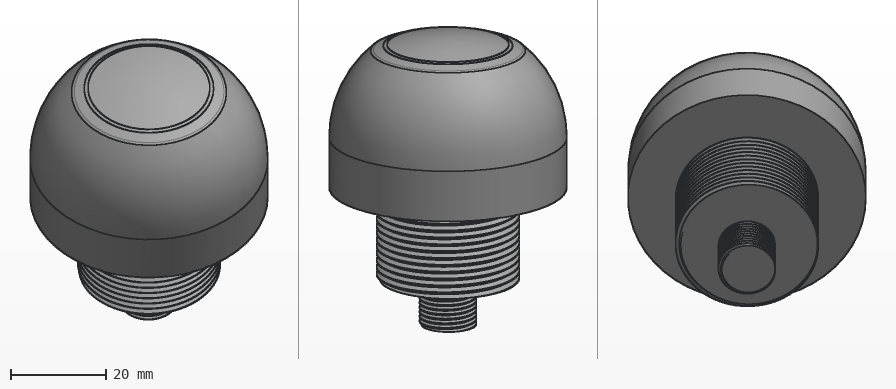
import cadquery as cq
import math

DRUM_DIAMETER = 50.0
DRUM_HEIGHT = 11.0
MOUNT_DIAMETER = 30.0
MOUNT_ROOT_DIAMETER = 27.75
MOUNT_LENGTH = 20.0
CONNECTOR_DIAMETER = 12.0
CONNECTOR_ROOT_DIAMETER = 10.55
CONNECTOR_LENGTH = 10.0
CONNECTOR_TURNS = 10
CONNECTOR_PITCH = CONNECTOR_LENGTH / CONNECTOR_TURNS
MOUNT_PITCH = 1.5 * CONNECTOR_PITCH
THREAD_ANGLE = 60.0
GROOVE_START_ANGLE = 90.0

DOME_HEIGHT = 19.0

OVERALL_HEIGHT = 63.1
BEVEL_WIDTH = 0.55
BEVEL_HEIGHT = 0.3
RING_OUTER_DIAMETER = 27.2
RING_INNER_DIAMETER = 25.6
RING_HEIGHT = 0.095

MOUNT_BOTTOM = CONNECTOR_LENGTH
DRUM_BOTTOM = MOUNT_BOTTOM + MOUNT_LENGTH
DOME_BOTTOM = DRUM_BOTTOM + DRUM_HEIGHT
CAP_BOTTOM = DOME_BOTTOM + DOME_HEIGHT
DOME_RADIUS = DRUM_DIAMETER / 2
CAP_RADIUS = math.sqrt(DOME_RADIUS**2 - DOME_HEIGHT**2)
CROWN_EDGE_RADIUS = CAP_RADIUS - BEVEL_WIDTH
CROWN_EDGE_Z = CAP_BOTTOM + BEVEL_HEIGHT
CROWN_RISE = OVERALL_HEIGHT - CROWN_EDGE_Z
CROWN_RADIUS = (CROWN_EDGE_RADIUS**2 + CROWN_RISE**2) / (2 * CROWN_RISE)
CROWN_CENTER_Z = OVERALL_HEIGHT - CROWN_RADIUS


def disc(diameter, bottom, height):
    """Upright cylinder on the Z axis."""
    return cq.Workplane("XY").workplane(offset=bottom).circle(diameter / 2).extrude(height)


def axis_segment(bottom, length):
    """Straight edge along the Z axis."""
    return cq.Edge.makeLine(cq.Vector(0, 0, bottom), cq.Vector(0, 0, bottom + length))


def helix_turn(radius, pitch, bottom):
    """One right-handed turn of a helix, starting on the +X side."""
    return cq.Wire.makeHelix(pitch, pitch, radius, center=cq.Vector(0, 0, bottom)).Edges()[0]


def threaded_rod(crest_radius, root_radius, pitch, turns):
    """Solid screw of whole turns from one pitch below the origin, bounded by helical faces.

    Each end is closed by a helicoid and by a flat step that holds one thread section.
    """
    flank_height = (crest_radius - root_radius) * math.tan(math.radians(THREAD_ANGLE / 2))
    section = [
        (root_radius, 0),
        (crest_radius, flank_height),
        (crest_radius, pitch - flank_height),
        (root_radius, pitch),
    ]
    first_turn = -pitch
    end_turn = first_turn + turns * pitch
    faces = []

    for turn in range(turns):
        turn_bottom = first_turn + turn * pitch
        edges = [helix_turn(radius, pitch, turn_bottom + height) for radius, height in section]
        for lower, upper in zip(edges, edges[1:]):
            faces.append(cq.Face.makeRuledSurface(lower, upper))

    for end in (first_turn, end_turn):
        axis = axis_segment(end, pitch)
        faces.append(cq.Face.makeRuledSurface(axis, helix_turn(root_radius, pitch, end)))
        step_outline = [(0, 0), *section, (0, pitch)]
        step_points = [cq.Vector(radius, 0, end + height) for radius, height in step_outline]
        faces.append(cq.Face.makeFromWires(cq.Wire.makePolygon(step_points, close=True)))

    return cq.Workplane(obj=cq.Solid.makeSolid(cq.Shell.makeShell(faces)))


def threaded_shank(diameter, root_diameter, pitch, bottom, length):
    """Threaded rod cut square at both ends."""
    turns = math.ceil(length / pitch) + 2
    rod = threaded_rod(diameter / 2, root_diameter / 2, pitch, turns)
    trimmed = rod.intersect(disc(2 * diameter, 0, length))
    return trimmed.rotate((0, 0, 0), (0, 0, 1), GROOVE_START_ANGLE).translate((0, 0, bottom))


def crown_z(radius):
    """Height of the crown surface at a distance from the Z axis."""
    return CROWN_CENTER_Z + math.sqrt(CROWN_RADIUS**2 - radius**2)


def make_housing():
    """Drum, mounting thread and connector thread as one solid."""
    connector = threaded_shank(
        CONNECTOR_DIAMETER, CONNECTOR_ROOT_DIAMETER, CONNECTOR_PITCH, 0, CONNECTOR_LENGTH
    )
    mount = threaded_shank(
        MOUNT_DIAMETER, MOUNT_ROOT_DIAMETER, MOUNT_PITCH, MOUNT_BOTTOM, MOUNT_LENGTH
    )
    drum = disc(DRUM_DIAMETER, DRUM_BOTTOM, DRUM_HEIGHT)
    return drum.union(mount).union(connector).solids()


def make_dome():
    """Spherical zone from the drum's top face up to the flat seat of the cap."""
    ball = cq.Workplane("XY").sphere(DOME_RADIUS).translate((0, 0, DOME_BOTTOM))
    return ball.intersect(disc(DRUM_DIAMETER, DOME_BOTTOM, DOME_HEIGHT)).solids()


def make_cap():
    """Crowned disc with a bevelled rim and a raised ring that follows the crown."""
    middle_radius = CROWN_EDGE_RADIUS / 2
    crown = (
        cq.Workplane("XZ")
        .moveTo(0, CAP_BOTTOM)
        .lineTo(CAP_RADIUS, CAP_BOTTOM)
        .lineTo(CROWN_EDGE_RADIUS, CROWN_EDGE_Z)
        .threePointArc((middle_radius, crown_z(middle_radius)), (0, OVERALL_HEIGHT))
        .close()
        .revolve(360, (0, 0, 0), (0, 1, 0))
    )
    ring_blank = disc(RING_OUTER_DIAMETER, CAP_BOTTOM, OVERALL_HEIGHT - CAP_BOTTOM)
    ring_bore = disc(RING_INNER_DIAMETER, CAP_BOTTOM, OVERALL_HEIGHT - CAP_BOTTOM)
    raised_crown = (
        cq.Workplane("XY").sphere(CROWN_RADIUS).translate((0, 0, CROWN_CENTER_Z + RING_HEIGHT))
    )
    ring = ring_blank.cut(ring_bore).intersect(raised_crown)
    return crown.union(ring).solids()


housing = make_housing()
dome = make_dome()
cap = make_cap()

result = cq.Compound.makeCompound([housing.val(), dome.val(), cap.val()])